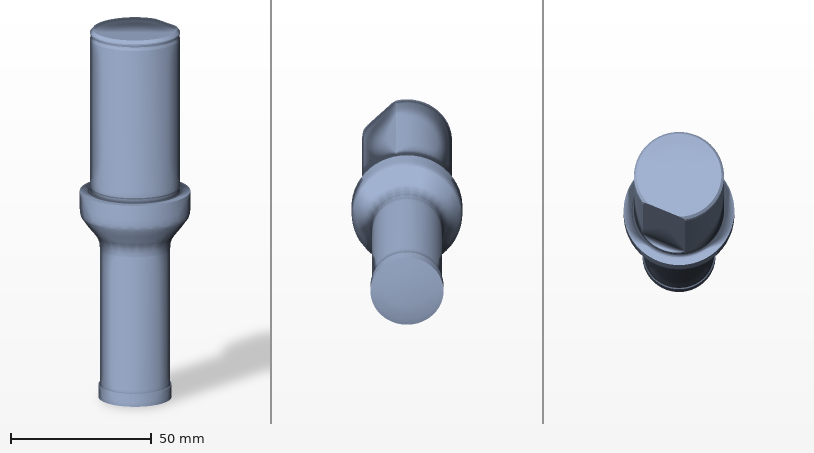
import cadquery as cq
import math

total_height = 137.0
tip_height = 5.6
tip_dome_height = 0.8
bell_bottom = 56.0
bell_top = 71.7
flange_top = 77.1

stem_radius = 25.1 / 2
tip_radius = 26.0 / 2
flange_radius = 39.5 / 2
shank_radius = 32.0 / 2
groove_radius = 31.5 / 2

top_chamfer_width = 1.0
top_chamfer_height = 1.1
top_groove_top = 135.5
top_groove_root = 134.7
top_groove_bottom = 133.5
neck_groove_top = 78.9
neck_bevel_height = 0.5
face_recess_radius = 16.9
face_recess_depth = 0.3

flat_distance = 13.8
flat_bottom = 80.8
bell_convex_share = 0.54


def make_bell_points():
    """Return points up the S-shaped bell, along two arcs tangent to each other and to the walls."""
    rise = bell_top - bell_bottom
    step = flange_radius - stem_radius
    radius_sum = (rise**2 + step**2) / (2 * step)
    sweep = math.asin(rise / radius_sum)
    convex = radius_sum * bell_convex_share
    concave = radius_sum - convex

    def on_concave(angle):
        return (stem_radius + concave * (1 - math.cos(angle)), bell_bottom + concave * math.sin(angle))

    def on_convex(angle):
        return (flange_radius - convex * (1 - math.cos(angle)), bell_top - convex * math.sin(angle))

    return [on_concave(sweep / 2), on_concave(sweep), on_convex(sweep / 2), (flange_radius, bell_top)]


def make_shank_flat_cutter():
    """Return the cutter for the flat, with a quarter-round runout at its lower end."""
    depth = shank_radius - flat_distance
    corner = depth * (1 - math.sqrt(0.5))
    return (
        cq.Workplane("YZ")
        .moveTo(flat_distance, total_height)
        .lineTo(flat_distance, flat_bottom + depth)
        .threePointArc((flat_distance + corner, flat_bottom + corner), (shank_radius, flat_bottom))
        .lineTo(flange_radius, flat_bottom)
        .lineTo(flange_radius, total_height)
        .close()
        .extrude(flange_radius, both=True)
    )


def make_holder():
    """Return the turned holder: stem, bell, flange and flatted shank."""
    turned = (
        cq.Workplane("XZ")
        .moveTo(0, tip_height)
        .lineTo(stem_radius, tip_height)
        .lineTo(stem_radius, bell_bottom)
        .spline(make_bell_points(), tangents=[(0, 1), (0, 1)], includeCurrent=True)
        .lineTo(flange_radius, flange_top)
        .lineTo(face_recess_radius, flange_top)
        .lineTo(face_recess_radius - face_recess_depth, flange_top - face_recess_depth)
        .lineTo(shank_radius, flange_top - face_recess_depth)
        .lineTo(groove_radius, flange_top)
        .lineTo(groove_radius, neck_groove_top - neck_bevel_height)
        .lineTo(shank_radius, neck_groove_top)
        .lineTo(shank_radius, top_groove_bottom)
        .lineTo(groove_radius, top_groove_root)
        .lineTo(shank_radius, top_groove_top)
        .lineTo(shank_radius, total_height - top_chamfer_height)
        .lineTo(shank_radius - top_chamfer_width, total_height)
        .lineTo(0, total_height)
        .close()
        .revolve(360, (0, 0), (0, 1))
    )
    return turned.cut(make_shank_flat_cutter())


def make_tip():
    """Return the round tip, with a shallow domed end."""
    dome_radius = (tip_radius**2 + tip_dome_height**2) / (2 * tip_dome_height)
    middle_angle = math.asin(tip_radius / dome_radius) / 2
    dome_middle = (dome_radius * math.sin(middle_angle), dome_radius * (1 - math.cos(middle_angle)))
    return (
        cq.Workplane("XZ")
        .moveTo(0, 0)
        .threePointArc(dome_middle, (tip_radius, tip_dome_height))
        .lineTo(tip_radius, tip_height)
        .lineTo(0, tip_height)
        .close()
        .revolve(360, (0, 0), (0, 1))
    )


holder = make_holder()
tip = make_tip()
result = cq.Compound.makeCompound([holder.val(), tip.val()])